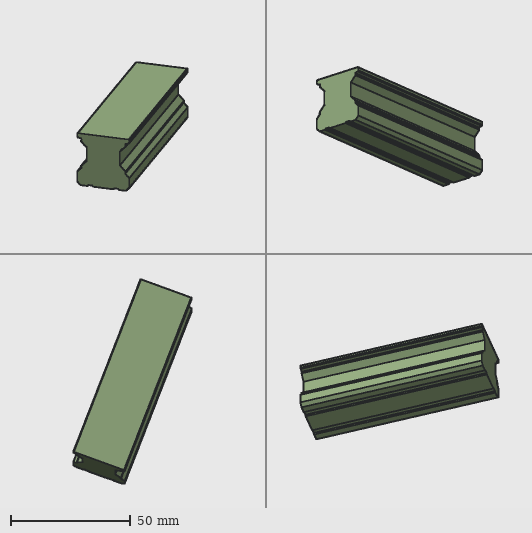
import cadquery as cq

length = 80.0
width = 23.0
height = 23.6
half_width = width / 2

top_chamfer = 0.3
head_side_bottom = 22.0
head_under_chamfer = 0.4
relief_top = 21.3
relief_bottom = 20.6
relief_half_width = 9.7
relief_top_half_width = 9.8

web_half_width = 7.4
web_top = 17.6
web_bottom = 11.3
upper_lip_half_width = 9.9
lower_lip_half_width = 10.0
lower_flank_half_width = 9.8
upper_lip = web_top + (upper_lip_half_width - web_half_width)
lower_flank_end = web_bottom - (lower_flank_half_width - web_half_width)

notch_top = 8.3
notch_top_half_width = 9.8
notch_bottom = 7.8
base_shoulder_half_width = 11.3
base_side_top = 6.1
base_shoulder = notch_bottom - (base_shoulder_half_width - relief_half_width)
base_chamfer = 1.5

groove_offset = 5.7
groove_width = 2.6
groove_roof_width = 1.6
groove_depth = 0.5

cap_diameter = 11.0
cap_thickness = 0.8
cap_pitch = 30.0
cap_count = 3

half_outline = [
    (0, 0),
    (groove_offset - groove_width / 2, 0),
    (groove_offset - groove_roof_width / 2, groove_depth),
    (groove_offset + groove_roof_width / 2, groove_depth),
    (groove_offset + groove_width / 2, 0),
    (half_width - base_chamfer, 0),
    (half_width, base_chamfer),
    (half_width, base_side_top),
    (base_shoulder_half_width, base_shoulder),
    (relief_half_width, notch_bottom),
    (notch_top_half_width, notch_top),
    (lower_lip_half_width, notch_top),
    (lower_flank_half_width, lower_flank_end),
    (web_half_width, web_bottom),
    (web_half_width, web_top),
    (upper_lip_half_width, upper_lip),
    (relief_half_width, relief_bottom),
    (relief_top_half_width, relief_top),
    (half_width - head_under_chamfer, head_side_bottom - head_under_chamfer),
    (half_width, head_side_bottom),
    (half_width, height - top_chamfer),
    (half_width - top_chamfer, height),
    (0, height),
]

rail = cq.Workplane("XZ").polyline(half_outline).mirrorY().extrude(length / 2, both=True)

caps = (
    cq.Workplane("XY", origin=(0, 0, height - cap_thickness))
    .rarray(0.8, cap_pitch, 1, cap_count)
    .circle(cap_diameter / 2)
    .extrude(cap_thickness)
)

result = rail.cut(caps).union(caps, clean=False).solids()